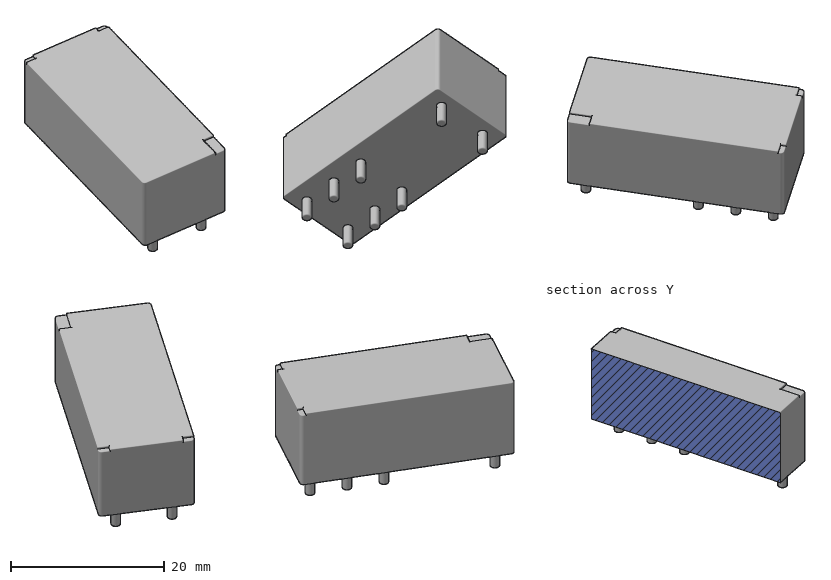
import cadquery as cq

case_length = 29.0
case_width = 12.8
case_height = 11.0
corner_radius = 0.5
edge_radius = 0.1

pin_diameter = 1.3
pin_length = 3.2
pin_tip_radius = 0.2
pin_pitch = 5.0
row_spacing = 7.5
first_pin_inset = 2.0
pin_steps = (0, 1, 2, 5)

recess_depth = 0.25
small_recess_length = 0.75
small_recess_width = 1.5
large_recess_length = 3.0
large_recess_width = 1.6


def plain_block(height):
    """Full-footprint block with sharp edges."""
    return cq.Workplane("XY").box(case_length, case_width, height, centered=(True, True, False))


def soften_rims(block):
    """Round the top and bottom rims of a block."""
    return block.faces("<Z or >Z").edges().fillet(edge_radius)


def corner_cutter(length, width, x_side, y_side):
    """Full-height cutter for one corner; x_side and y_side (+1 or -1) select the corner."""
    center_x = x_side * (case_length - length) / 2
    center_y = y_side * (case_width - width) / 2
    cutter = cq.Workplane("XY").box(length, width, case_height, centered=(True, True, False))
    return cutter.translate((center_x, center_y, 0))


def make_base():
    """Block up to the recess floors, with rounded vertical corners and rims."""
    base = plain_block(case_height - recess_depth)
    return soften_rims(base.edges("|Z").fillet(corner_radius))


def make_raised_body():
    """Full-height block without the recessed corners; only its +X -Y corner is a case corner."""
    raised = plain_block(case_height)
    for y_side in (-1, 1):
        raised = raised.cut(corner_cutter(small_recess_length, small_recess_width, -1, y_side))
    raised = raised.cut(corner_cutter(large_recess_length, large_recess_width, 1, 1))
    outer_sides = raised.faces("<X or >X or <Y or >Y")
    raised = outer_sides.edges("|Z exc (>X and <Y)").fillet(edge_radius)
    raised = raised.edges("|Z and >X and <Y").fillet(corner_radius)
    return soften_rims(raised)


def make_case():
    """Base and raised body merged, leaving the recesses where only the base is present."""
    return make_base().union(make_raised_body())


def make_pin(x, y):
    """Round pin hanging below the case with a rounded tip."""
    pin = cq.Workplane("XY").circle(pin_diameter / 2).extrude(-pin_length)
    return pin.faces("<Z").edges().fillet(pin_tip_radius).translate((x, y, 0))


result = make_case()
for row_y in (-row_spacing / 2, row_spacing / 2):
    for step in pin_steps:
        pin_x = -case_length / 2 + first_pin_inset + step * pin_pitch
        result = result.union(make_pin(pin_x, row_y))